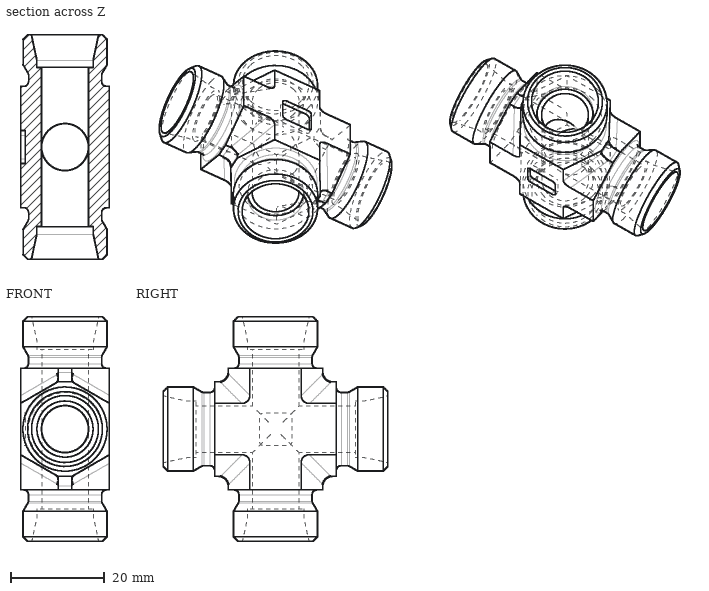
import cadquery as cq
import math

BODY_WIDTH = 19.0
BODY_LENGTH = 26.0
BODY_HEIGHT = 20.25
CROTCH_RADIUS = 2.0

TOTAL_LENGTH = 48.0
END_DIAMETER = 18.0
END_CHAMFER = 1.0
NECK_DIAMETER = 15.7
NECK_LENGTH = 2.58
NECK_BASE_RADIUS = 1.0
NECK_FLARE_RADIUS = 0.8
FLARE_ANGLE = 30.0

BORE_DIAMETER = 10.0
SOCKET_DIAMETER = 12.0
SOCKET_DEPTH = 7.0
CONE_DIAMETER = 14.3
CONE_HALF_ANGLE = 12.0

RECESS_SIZE = 7.0
RECESS_CORNER_RADIUS = 1.0
RECESS_DEPTH = 1.0

HALF_WIDTH = BODY_WIDTH / 2
HALF_LENGTH = BODY_LENGTH / 2
HALF_TOTAL = TOTAL_LENGTH / 2
QUARTER_TURNS = [0, 90, 180, 270]


def turn_about_x(solid, angle):
    return solid.rotate((0, 0, 0), (1, 0, 0), angle)


def make_bar():
    """Hexagonal bar along Z, with its two corners on the Y axis cut flat."""
    corner_diameter = BODY_WIDTH / math.cos(math.radians(30))
    hexagon = (
        cq.Workplane("XY")
        .polygon(6, corner_diameter)
        .extrude(BODY_LENGTH)
        .translate((0, 0, -HALF_LENGTH))
        .rotate((0, 0, 0), (0, 0, 1), 90)
    )
    return hexagon.intersect(cq.Workplane("XY").box(BODY_WIDTH, BODY_HEIGHT, BODY_LENGTH))


def make_body():
    """Two crossing bars, filleted along the edges where they meet."""
    bar = make_bar()
    body = bar.union(turn_about_x(bar, 90))
    in_crotch = [
        edge
        for edge in body.edges().vals()
        if math.isclose(abs(edge.Center().y), abs(edge.Center().z), abs_tol=1e-6)
    ]
    return body.newObject(in_crotch).fillet(CROTCH_RADIUS)


def make_end():
    """Threaded end along +Z, with a root reaching to the part center."""
    end_radius = END_DIAMETER / 2
    neck_radius = NECK_DIAMETER / 2
    slope = math.radians(FLARE_ANGLE)
    flare_start = HALF_LENGTH + NECK_LENGTH
    flare_top = flare_start + (end_radius - neck_radius) / math.tan(slope)

    base_center_r = neck_radius + NECK_BASE_RADIUS
    base_center_z = HALF_LENGTH + NECK_BASE_RADIUS
    base_mid = (
        base_center_r - NECK_BASE_RADIUS * math.cos(math.pi / 4),
        base_center_z - NECK_BASE_RADIUS * math.sin(math.pi / 4),
    )

    tangent = NECK_FLARE_RADIUS * math.tan(slope / 2)
    flare_arc_start = (neck_radius, flare_start - tangent)
    flare_arc_mid = (
        neck_radius + NECK_FLARE_RADIUS * (1 - math.cos(slope / 2)),
        flare_start - tangent + NECK_FLARE_RADIUS * math.sin(slope / 2),
    )
    flare_arc_end = (
        neck_radius + tangent * math.sin(slope),
        flare_start + tangent * math.cos(slope),
    )

    return (
        cq.Workplane("XZ")
        .moveTo(0, 0)
        .lineTo(base_center_r, 0)
        .lineTo(base_center_r, HALF_LENGTH)
        .threePointArc(base_mid, (neck_radius, base_center_z))
        .lineTo(*flare_arc_start)
        .threePointArc(flare_arc_mid, flare_arc_end)
        .lineTo(end_radius, flare_top)
        .lineTo(end_radius, HALF_TOTAL - END_CHAMFER)
        .lineTo(end_radius - END_CHAMFER, HALF_TOTAL)
        .lineTo(0, HALF_TOTAL)
        .close()
        .revolve(360, (0, 0, 0), (0, 1, 0))
    )


def make_bore():
    """Volume removed from one end, from the part center to the +Z mouth."""
    bore_radius = BORE_DIAMETER / 2
    socket_radius = SOCKET_DIAMETER / 2
    cone_radius = CONE_DIAMETER / 2
    cone_depth = (cone_radius - socket_radius) / math.tan(math.radians(CONE_HALF_ANGLE))
    socket_floor = HALF_TOTAL - SOCKET_DEPTH
    return (
        cq.Workplane("XZ")
        .moveTo(0, 0)
        .lineTo(bore_radius, 0)
        .lineTo(bore_radius, socket_floor)
        .lineTo(socket_radius, socket_floor)
        .lineTo(socket_radius, HALF_TOTAL - cone_depth)
        .lineTo(cone_radius, HALF_TOTAL)
        .lineTo(0, HALF_TOTAL)
        .close()
        .revolve(360, (0, 0, 0), (0, 1, 0))
    )


def make_recess():
    """Rounded square pocket volume in the -X flat."""
    return (
        cq.Workplane("YZ", origin=(-HALF_WIDTH, 0, 0))
        .rect(RECESS_SIZE, RECESS_SIZE)
        .extrude(RECESS_DEPTH)
        .edges("|X")
        .fillet(RECESS_CORNER_RADIUS)
    )


result = make_body()
for angle in QUARTER_TURNS:
    result = result.union(turn_about_x(make_end(), angle))
for angle in QUARTER_TURNS:
    result = result.cut(turn_about_x(make_bore(), angle))
result = result.cut(make_recess())